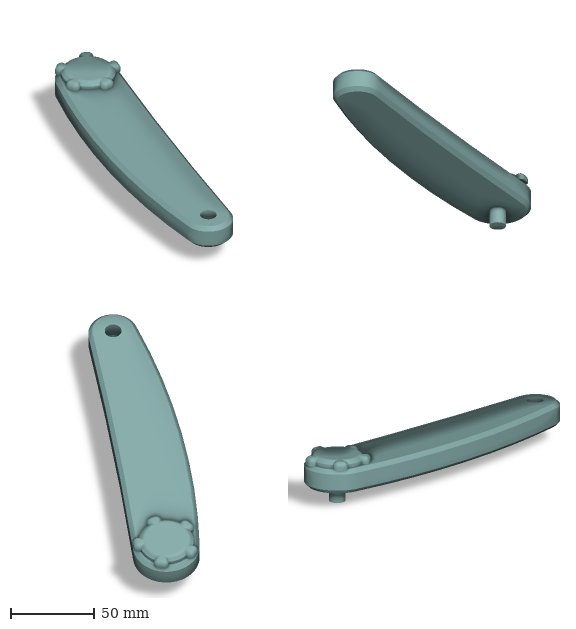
import cadquery as cq
import math

OVERALL_LENGTH = 205
HUB_RADIUS = 20.0
TIP_RADIUS = 15.0
END_SPACING = OVERALL_LENGTH - HUB_RADIUS - TIP_RADIUS
BELLY_ARC_RADIUS = 457.2
ARM_THICKNESS = 15.0
ARM_CHAMFER = 2.5

PIN_DIAMETER = 10.0
PIN_LENGTH = 10.0
SOCKET_DEPTH = PIN_LENGTH

KNOB_HEIGHT = 5.0
DISC_RADIUS = 16.5
DISC_CHAMFER = 2.5
KNOB_ROUNDING = 3.0
TOOTH_COUNT = 5
TOOTH_REACH = HUB_RADIUS
TOOTH_ROOT = 12.3
TOOTH_HALF_ANGLE = 15
FIRST_TOOTH_ANGLE = 87


def point_towards(start, target, distance):
    """Point at a signed distance from start along the line to target."""
    length = math.dist(start, target)
    return tuple(s + (t - s) * distance / length for s, t in zip(start, target))


def make_arm():
    hub = (0, 0)
    tip = (END_SPACING, 0)

    hub_gap = BELLY_ARC_RADIUS - HUB_RADIUS
    tip_gap = BELLY_ARC_RADIUS - TIP_RADIUS
    belly_x = (END_SPACING**2 + hub_gap**2 - tip_gap**2) / (2 * END_SPACING)
    belly_center = (belly_x, math.sqrt(hub_gap**2 - belly_x**2))
    belly_hub = point_towards(hub, belly_center, -HUB_RADIUS)
    belly_tip = point_towards(tip, belly_center, -TIP_RADIUS)
    belly_low = (belly_x, belly_center[1] - BELLY_ARC_RADIUS)

    hollow_radius = (END_SPACING**2 + TIP_RADIUS**2 - HUB_RADIUS**2) / (2 * (HUB_RADIUS - TIP_RADIUS))
    hollow_center = (END_SPACING, TIP_RADIUS + hollow_radius)
    hollow_hub = point_towards(hub, hollow_center, HUB_RADIUS)
    hollow_tip = (END_SPACING, TIP_RADIUS)
    chord_middle = tuple((h + t) / 2 for h, t in zip(hollow_hub, hollow_tip))
    hollow_middle = point_towards(hollow_center, chord_middle, hollow_radius)

    return (
        cq.Workplane("XY")
        .moveTo(*belly_hub)
        .threePointArc(belly_low, belly_tip)
        .threePointArc((END_SPACING + TIP_RADIUS, 0), hollow_tip)
        .threePointArc(hollow_middle, hollow_hub)
        .threePointArc((-HUB_RADIUS, 0), belly_hub)
        .close()
        .extrude(ARM_THICKNESS)
        .faces("<Z or >Z")
        .edges()
        .chamfer(ARM_CHAMFER)
    )


def make_pin():
    return cq.Workplane("XY").circle(PIN_DIAMETER / 2).extrude(-PIN_LENGTH)


def make_socket():
    return (
        cq.Workplane("XY", origin=(END_SPACING, 0, ARM_THICKNESS))
        .circle(PIN_DIAMETER / 2)
        .extrude(-SOCKET_DEPTH)
    )


def make_disc():
    return (
        cq.Workplane("XY", origin=(0, 0, ARM_THICKNESS))
        .circle(DISC_RADIUS)
        .extrude(KNOB_HEIGHT)
        .faces(">Z")
        .chamfer(DISC_CHAMFER)
        .faces(">Z")
        .edges()
        .fillet(KNOB_ROUNDING)
    )


def make_tooth(angle):
    """Wedge-shaped grip tooth pointing outwards at the given angle, rounded at its outer end and top."""
    side_slope = math.tan(math.radians(TOOTH_HALF_ANGLE))
    root_half_width = TOOTH_ROOT * side_slope
    reach_half_width = TOOTH_REACH * side_slope
    return (
        cq.Workplane("XY", origin=(0, 0, ARM_THICKNESS))
        .moveTo(TOOTH_ROOT, -root_half_width)
        .lineTo(TOOTH_REACH, -reach_half_width)
        .lineTo(TOOTH_REACH, reach_half_width)
        .lineTo(TOOTH_ROOT, root_half_width)
        .close()
        .extrude(KNOB_HEIGHT)
        .edges("|Z and >X")
        .fillet(KNOB_ROUNDING)
        .faces(">Z")
        .edges("not <X")
        .fillet(KNOB_ROUNDING)
        .rotate((0, 0, 0), (0, 0, 1), angle)
    )


result = make_arm().union(make_pin()).cut(make_socket()).union(make_disc())
for tooth_index in range(TOOTH_COUNT):
    tooth_angle = FIRST_TOOTH_ANGLE + tooth_index * 360 / TOOTH_COUNT
    result = result.union(make_tooth(tooth_angle))